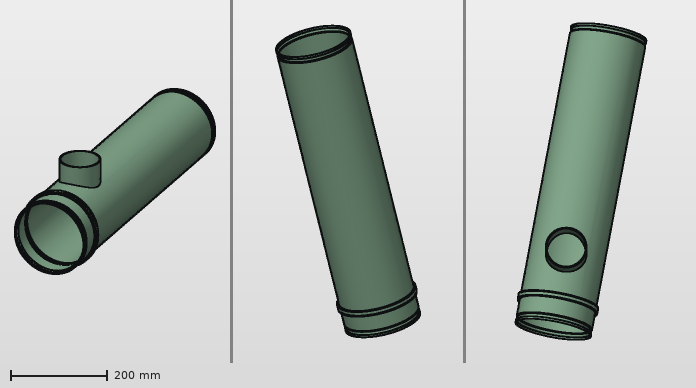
import cadquery as cq

tube_length = 640.0
tube_radius = 80.0
tube_wall = 2.0
tube_bore_radius = tube_radius - tube_wall

groove_start = 5.0
groove_end = 14.0
groove_depth = 2.5
shoulder_start = 12.0
shoulder_depth = 0.95

bead_height = 4.5
bead_start = 49.0
bead_width = 11.5

branch_radius = 43.0
branch_wall = 2.5
branch_from_end = 150.0
branch_top = 120.0

front_y = -tube_length / 2
back_y = tube_length / 2
branch_y = front_y + branch_from_end


def tube_contour(radius, bead_inset):
    """Revolved solid following one tube surface: both grooves and the bead.

    bead_inset narrows the bead on each side, keeping its wall thickness inside.
    """
    bead_top = radius + bead_height
    bead_front = front_y + bead_start + bead_inset
    bead_back = front_y + bead_start + bead_width - bead_inset
    shoulder_radius = radius - shoulder_depth
    groove_radius = radius - groove_depth
    groove_middle = (groove_start + shoulder_start) / 2

    profile = (
        cq.Workplane("XY")
        .moveTo(0, front_y)
        .lineTo(radius, front_y)
        .lineTo(radius, front_y + groove_start)
        .threePointArc((groove_radius, front_y + groove_middle), (shoulder_radius, front_y + shoulder_start))
        .lineTo(radius, front_y + groove_end)
        .lineTo(radius, bead_front)
        .lineTo(bead_top, bead_front)
        .lineTo(bead_top, bead_back)
        .lineTo(radius, bead_back)
        .lineTo(radius, back_y - groove_end)
        .lineTo(shoulder_radius, back_y - shoulder_start)
        .threePointArc((groove_radius, back_y - groove_middle), (radius, back_y - groove_start))
        .lineTo(radius, back_y)
        .lineTo(0, back_y)
        .close()
    )
    return profile.revolve(360, (0, 0, 0), (0, 1, 0))


def branch_cylinder(radius):
    """Vertical cylinder from the tube axis to the top of the branch."""
    return cq.Workplane("XY").center(0, branch_y).circle(radius).extrude(branch_top)


outside = tube_contour(tube_radius, 0).union(branch_cylinder(branch_radius))
result = outside.cut(tube_contour(tube_bore_radius, tube_wall))
result = result.cut(branch_cylinder(branch_radius - branch_wall))